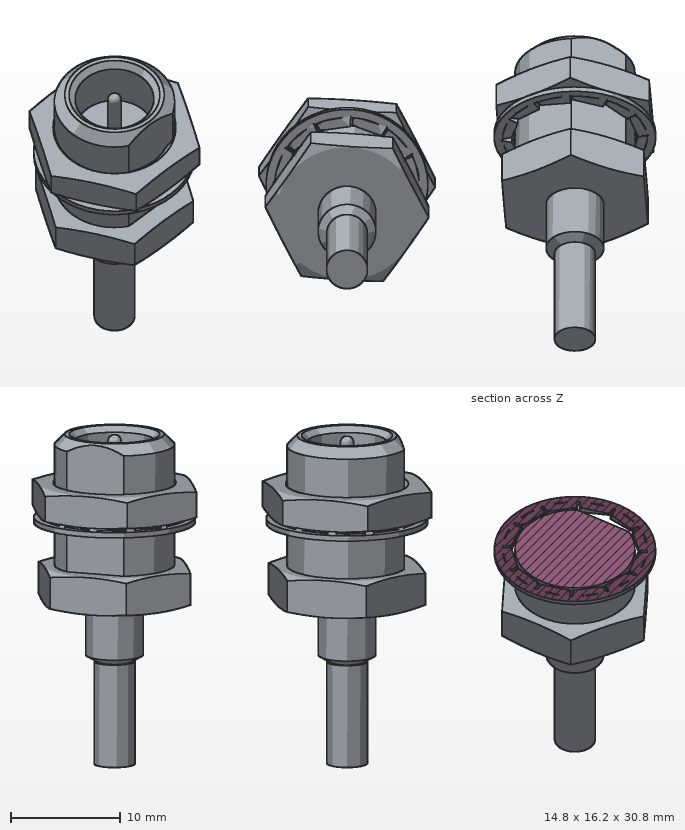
import cadquery as cq
import math


total_height = 30.75
barrel_radius = 5.5
barrel_flat_x = 4.75
barrel_chamfer = 0.95
hex_base_z = 15.07
hex_height = 3.5
hex_across_corners = 15.0
socket_radius = 3.6
socket_depth = 4.92
socket_chamfer = 0.55
pin_radius = 0.6
pin_tip_gap = 0.05
ferrule_radius = 2.65
ferrule_base_z = 10.18
ferrule_cone_height = 0.6
ferrule_cone_slope = 60.0
cable_radius = 1.88

nut_base_z = 23.28
nut_height = 2.95
nut_across_corners = 16.17
nut_bore_radius = 5.1
nut_bore_chamfer = 0.52

washer_base_z = 22.55
washer_thickness = 0.5
washer_diameter = 14.8
washer_ring_inner_radius = 6.6
tooth_count = 12
tooth_root_radius = 6.75
tooth_tip_radius = 5.8
tooth_gap_angle = 2.0
tooth_edge_rise = 0.18

hex_sides = 6
hex_bevel_slope = 15.0
hex_bevel_inset = 0.05

hex_top_z = hex_base_z + hex_height
socket_floor_z = total_height - socket_depth
cable_top_z = ferrule_base_z - ferrule_cone_height
ferrule_tip_radius = ferrule_radius - ferrule_cone_height * math.tan(math.radians(ferrule_cone_slope))


def cylinder(radius, base_z, top_z):
    return cq.Workplane("XY").workplane(offset=base_z).circle(radius).extrude(top_z - base_z)


def bevelled_hexagon(across_corners, base_z, height):
    """Hexagonal prism with corners on +Y and -Y, its corners bevelled at both ends."""
    half_side_angle = 180 / hex_sides
    corner_radius = across_corners / 2
    face_radius = corner_radius * math.cos(math.radians(half_side_angle)) - hex_bevel_inset
    bevel_drop = (corner_radius - face_radius) * math.tan(math.radians(hex_bevel_slope))
    top_z = base_z + height
    prism = (
        cq.Workplane("XY")
        .workplane(offset=base_z)
        .polygon(hex_sides, across_corners)
        .extrude(height)
        .rotate((0, 0, 0), (0, 0, 1), half_side_angle)
    )
    bevel_envelope = (
        cq.Workplane("XZ")
        .moveTo(0, base_z)
        .lineTo(face_radius, base_z)
        .lineTo(corner_radius, base_z + bevel_drop)
        .lineTo(corner_radius, top_z - bevel_drop)
        .lineTo(face_radius, top_z)
        .lineTo(0, top_z)
        .close()
        .revolve(360, (0, 0, 0), (0, 1, 0))
    )
    return prism.intersect(bevel_envelope)


def make_barrel():
    """Chamfered barrel with a flat along its +X side."""
    barrel = cylinder(barrel_radius, hex_top_z, total_height).faces(">Z").chamfer(barrel_chamfer)
    flat_cutter = (
        cq.Workplane("XY")
        .workplane(offset=hex_top_z)
        .center(barrel_flat_x + barrel_radius, 0)
        .rect(2 * barrel_radius, 2 * barrel_radius)
        .extrude(total_height - hex_top_z)
    )
    return barrel.cut(flat_cutter)


def make_socket_cutter():
    """Round socket with a conical lead-in at the rim."""
    rim_radius = socket_radius + socket_chamfer
    return (
        cq.Workplane("XZ")
        .moveTo(0, socket_floor_z)
        .lineTo(socket_radius, socket_floor_z)
        .lineTo(socket_radius, total_height - socket_chamfer)
        .lineTo(rim_radius, total_height)
        .lineTo(0, total_height)
        .close()
        .revolve(360, (0, 0, 0), (0, 1, 0))
    )


def make_pin():
    """Contact pin with a hemispherical tip."""
    dome_z = total_height - pin_tip_gap - pin_radius
    shaft = cylinder(pin_radius, socket_floor_z, dome_z)
    dome = cq.Workplane("XY").sphere(pin_radius).translate((0, 0, dome_z))
    return shaft.union(dome)


def make_cable_end():
    """Crimp ferrule tapering down onto the cable stub."""
    return (
        cq.Workplane("XZ")
        .moveTo(0, 0)
        .lineTo(cable_radius, 0)
        .lineTo(cable_radius, cable_top_z)
        .lineTo(ferrule_tip_radius, cable_top_z)
        .lineTo(ferrule_radius, ferrule_base_z)
        .lineTo(ferrule_radius, hex_base_z)
        .lineTo(0, hex_base_z)
        .close()
        .revolve(360, (0, 0, 0), (0, 1, 0))
    )


def make_connector_body(barrel):
    return (
        bevelled_hexagon(hex_across_corners, hex_base_z, hex_height)
        .union(barrel)
        .union(make_cable_end())
        .cut(make_socket_cutter())
        .union(make_pin())
    )


def make_nut(barrel):
    """Hexagonal nut whose bore, chamfered at both ends, is fitted around the flatted barrel."""
    top_z = nut_base_z + nut_height
    entry_radius = nut_bore_radius + nut_bore_chamfer
    bore = (
        cq.Workplane("XZ")
        .moveTo(0, nut_base_z)
        .lineTo(entry_radius, nut_base_z)
        .lineTo(nut_bore_radius, nut_base_z + nut_bore_chamfer)
        .lineTo(nut_bore_radius, top_z - nut_bore_chamfer)
        .lineTo(entry_radius, top_z)
        .lineTo(0, top_z)
        .close()
        .revolve(360, (0, 0, 0), (0, 1, 0))
    )
    return bevelled_hexagon(nut_across_corners, nut_base_z, nut_height).cut(bore).cut(barrel)


def make_washer_tooth():
    """Inward tooth on the +X side, level at its root and twisted at its tip, +Y edge down."""
    half_angle = math.radians(360 / tooth_count - tooth_gap_angle) / 2
    root_x = tooth_root_radius * math.cos(half_angle)
    tip_x = tooth_tip_radius * math.cos(half_angle)
    root_half_width = tooth_root_radius * math.sin(half_angle)
    tip_half_width = tooth_tip_radius * math.sin(half_angle)
    low = -washer_thickness / 2
    high = washer_thickness / 2
    drop = tooth_edge_rise
    return (
        cq.Workplane("YZ")
        .workplane(offset=root_x)
        .polyline([(-root_half_width, low), (root_half_width, low),
                   (root_half_width, high), (-root_half_width, high)])
        .close()
        .workplane(offset=tip_x - root_x)
        .polyline([(-tip_half_width, low + drop), (tip_half_width, low - drop),
                   (tip_half_width, high - drop), (-tip_half_width, high + drop)])
        .close()
        .loft(ruled=True)
        .translate((0, 0, washer_base_z + washer_thickness / 2))
    )


def make_lock_washer():
    """Flat ring with twisted teeth pointing inward."""
    washer_top_z = washer_base_z + washer_thickness
    washer = cylinder(washer_diameter / 2, washer_base_z, washer_top_z).cut(
        cylinder(washer_ring_inner_radius, washer_base_z, washer_top_z)
    )
    tooth = make_washer_tooth()
    pitch_angle = 360 / tooth_count
    for index in range(tooth_count):
        angle = (index + 0.5) * pitch_angle
        washer = washer.union(tooth.rotate((0, 0, 0), (0, 0, 1), angle))
    return washer


barrel = make_barrel()
connector_body = make_connector_body(barrel)
nut = make_nut(barrel)
lock_washer = make_lock_washer()

result = cq.Compound.makeCompound([
    connector_body.solids().val(),
    nut.solids().val(),
    lock_washer.solids().val(),
])